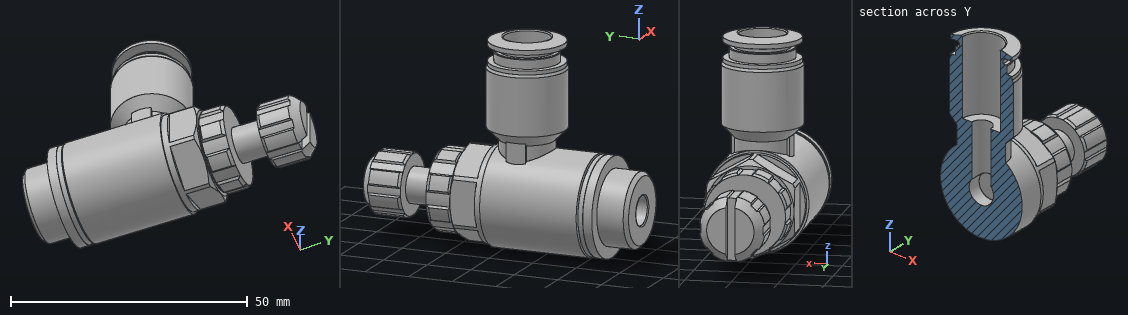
import cadquery as cq
import math


SPIGOT_END = 6.95
SPIGOT_D = 16.7
SPIGOT_CHAMFER = 0.85
FLANGE_END = 9.05
FLANGE_D = 22.15
RING_END = 10.15
RING_D = 22.0
NECK_GAP_END = 10.45
NECK_GAP_D = 20.55
BARREL_END = 32.6
BARREL_D = 22.4
COLLAR_END = 34.05
COLLAR_D = 21.4

HEX_END = 40.25
HEX_FLATS = 19.0
HEX_FACE_D = 18.95
HEX_CHAMFER_ANGLE = 30

GRIP_COUNT = 8
NUT_GAP_D = 17.0
NUT_START = 40.4
NUT_END = 46.0
NUT_D = 18.45
NUT_ROOT_D = 17.5
NUT_INNER_CHAMFER = 0.45
NUT_OUTER_CHAMFER = 0.75
NUT_GROOVE_ROOT_WIDTH = 2.8
NUT_GROOVE_MOUTH_WIDTH = 3.85
STEM_D = 8.0
KNOB_START = 52.7
KNOB_END = 61.9
KNOB_D = 14.2
KNOB_ROOT_D = 13.5
KNOB_INNER_CHAMFER = 0.6
KNOB_TIP_D = 10.2
KNOB_CONE_LENGTH = (KNOB_D - KNOB_TIP_D) / 2
KNOB_GROOVE_ROOT_WIDTH = 1.7
KNOB_GROOVE_MOUTH_WIDTH = 2.5
SLOT_WIDTH = 1.9
SLOT_DEPTH = 1.85

PORT_Y = 26.45
PORT_NECK_D = 12.2
PORT_CONE_TOP = 15.7
PORT_D = 17.5
PORT_CONE_BOTTOM = PORT_CONE_TOP - (PORT_D - PORT_NECK_D) / 2
PORT_BARREL_TOP = 28.65
RIM_BOTTOM = 29.3
RIM_D = 16.9
RIM_TOP = 30.15
SLEEVE_D = 14.2
SLEEVE_TOP = 32.4
SLEEVE_CHAMFER = 0.2
RELEASE_NECK_D = 12.0
RELEASE_TAPER_BOTTOM = 33.2
RELEASE_TAPER_D = 12.6
RELEASE_BOTTOM = 33.6
RELEASE_SHOULDER = 34.65
RELEASE_D = 16.9
PORT_TOP = 35.45
MOUTH_D = 10.8

LUG_D = 13.3
LUG_WIDTH = 4.45

TUBE_BORE_D = 10.2
TUBE_BORE_FLOOR = PORT_CONE_TOP
PASSAGE_D = 5.0
MAIN_BORE_D = 6.5
MAIN_BORE_MOUTH_D = 7.0
MAIN_BORE_DEPTH = PORT_Y + MAIN_BORE_D / 2


def turned(profile):
    """Revolve (station, diameter) pairs about the Y axis."""
    outline = [(diameter / 2, station) for station, diameter in profile]
    closed = [(0, profile[0][0])] + outline + [(0, profile[-1][0])]
    return cq.Workplane("XY").polyline(closed).close().revolve(360, (0, 0), (0, 1))


def cylinder_along_y(diameter, start, end):
    return cq.Workplane("XZ", origin=(0, end, 0)).circle(diameter / 2).extrude(end - start)


def cylinder_along_z(diameter, bottom, top):
    return cq.Workplane("XY", origin=(0, PORT_Y, bottom)).circle(diameter / 2).extrude(top - bottom)


def grip_grooves(outer_d, root_d, root_width, mouth_width, start, end):
    """Flared grooves evenly spaced around the Y axis, with round floors."""
    floor = math.sqrt((root_d / 2) ** 2 - (root_width / 2) ** 2)
    mouth = math.sqrt((outer_d / 2) ** 2 - (mouth_width / 2) ** 2)
    flare = (mouth_width - root_width) / (mouth - floor)
    clear = outer_d / 2 + 0.6
    clear_width = root_width + flare * (clear - floor)
    section = [
        (-root_width / 2, floor),
        (root_width / 2, floor),
        (clear_width / 2, clear),
        (-clear_width / 2, clear),
    ]
    groove = cq.Workplane("XZ", origin=(0, end, 0)).polyline(section).close().extrude(end - start)
    groove = groove.cut(cylinder_along_y(root_d, start, end))
    grooves = cq.Workplane("XY")
    for index in range(GRIP_COUNT):
        grooves = grooves.add(groove.rotate((0, 0, 0), (0, 1, 0), index * 360 / GRIP_COUNT))
    return grooves.combine()


def make_body():
    return turned([
        (0, SPIGOT_D - 2 * SPIGOT_CHAMFER),
        (SPIGOT_CHAMFER, SPIGOT_D),
        (SPIGOT_END, SPIGOT_D),
        (SPIGOT_END, FLANGE_D),
        (FLANGE_END, FLANGE_D),
        (FLANGE_END, RING_D),
        (RING_END, RING_D),
        (RING_END, NECK_GAP_D),
        (NECK_GAP_END, NECK_GAP_D),
        (NECK_GAP_END, BARREL_D),
        (BARREL_END, BARREL_D),
        (BARREL_END, COLLAR_D),
        (COLLAR_END, COLLAR_D),
    ])


def make_hexagon():
    """Hexagon with corners at +Z and -Z, trimmed to the collar diameter and chamfered."""
    corner_d = HEX_FLATS / math.cos(math.radians(30))
    prism = (
        cq.Workplane("XZ", origin=(0, HEX_END, 0))
        .transformed(rotate=(0, 0, 30))
        .polygon(6, corner_d)
        .extrude(HEX_END - COLLAR_END)
    )
    chamfer_length = (COLLAR_D - HEX_FACE_D) / 2 * math.tan(math.radians(HEX_CHAMFER_ANGLE))
    envelope = turned([
        (COLLAR_END, COLLAR_D),
        (HEX_END - chamfer_length, COLLAR_D),
        (HEX_END, HEX_FACE_D),
    ])
    return prism.intersect(envelope)


def make_lock_nut():
    """Grip ring joined to the hexagon by a thin recessed neck."""
    nut = turned([
        (HEX_END, NUT_GAP_D),
        (NUT_START, NUT_GAP_D),
        (NUT_START, NUT_ROOT_D),
        (NUT_START + NUT_INNER_CHAMFER, NUT_D),
        (NUT_END - NUT_OUTER_CHAMFER, NUT_D),
        (NUT_END, NUT_ROOT_D),
    ])
    return nut.cut(grip_grooves(
        NUT_D, NUT_ROOT_D, NUT_GROOVE_ROOT_WIDTH, NUT_GROOVE_MOUTH_WIDTH, NUT_START, NUT_END
    ))


def make_knob():
    knob = turned([
        (KNOB_START, KNOB_ROOT_D),
        (KNOB_START + KNOB_INNER_CHAMFER, KNOB_D),
        (KNOB_END - KNOB_CONE_LENGTH, KNOB_D),
        (KNOB_END, KNOB_TIP_D),
    ])
    knob = knob.cut(grip_grooves(
        KNOB_D, KNOB_ROOT_D, KNOB_GROOVE_ROOT_WIDTH, KNOB_GROOVE_MOUTH_WIDTH, KNOB_START, KNOB_END
    ))
    slot = cq.Workplane("XY").box(SLOT_WIDTH, 2 * SLOT_DEPTH, KNOB_D).translate((0, KNOB_END, 0))
    return knob.cut(slot)


def make_port():
    """Port turned about its own vertical axis, from the body axis up to the release ring."""
    port = (
        cq.Workplane("XZ", origin=(0, PORT_Y, 0))
        .lineTo(PORT_NECK_D / 2, 0)
        .lineTo(PORT_NECK_D / 2, PORT_CONE_BOTTOM)
        .lineTo(PORT_D / 2, PORT_CONE_TOP)
        .lineTo(PORT_D / 2, PORT_BARREL_TOP)
        .lineTo(RIM_D / 2, RIM_BOTTOM)
        .lineTo(RIM_D / 2, RIM_TOP)
        .lineTo(SLEEVE_D / 2, RIM_TOP)
        .lineTo(SLEEVE_D / 2, SLEEVE_TOP - SLEEVE_CHAMFER)
        .lineTo(SLEEVE_D / 2 - SLEEVE_CHAMFER, SLEEVE_TOP)
        .lineTo(RELEASE_NECK_D / 2, SLEEVE_TOP)
        .lineTo(RELEASE_NECK_D / 2, RELEASE_TAPER_BOTTOM)
        .lineTo(RELEASE_TAPER_D / 2, RELEASE_BOTTOM)
        .lineTo(RELEASE_D / 2, RELEASE_BOTTOM)
        .lineTo(RELEASE_D / 2, RELEASE_SHOULDER)
        .lineTo(MOUTH_D / 2, PORT_TOP)
        .lineTo(0, PORT_TOP)
        .close()
        .revolve(360, (0, 0), (0, 1))
    )
    return port.union(make_lugs())


def make_lugs():
    """Two lugs on the +X and -X sides of the port neck, with round outer faces."""
    strip = cq.Workplane("XY", origin=(0, PORT_Y, 0)).rect(LUG_D, LUG_WIDTH).extrude(PORT_CONE_TOP)
    return strip.intersect(cylinder_along_z(LUG_D, 0, PORT_CONE_TOP))


def make_bores():
    """Blind main bore from the spigot, met by the tube bore and its narrower passage."""
    mouth_chamfer = (MAIN_BORE_MOUTH_D - MAIN_BORE_D) / 2
    main_bore = turned([
        (0, MAIN_BORE_MOUTH_D),
        (mouth_chamfer, MAIN_BORE_D),
        (MAIN_BORE_DEPTH, MAIN_BORE_D),
    ])
    tube_mouth_z = PORT_TOP - (MOUTH_D - TUBE_BORE_D) / 2
    tube_bore = (
        cq.Workplane("XZ", origin=(0, PORT_Y, 0))
        .moveTo(0, TUBE_BORE_FLOOR)
        .lineTo(TUBE_BORE_D / 2, TUBE_BORE_FLOOR)
        .lineTo(TUBE_BORE_D / 2, tube_mouth_z)
        .lineTo(MOUTH_D / 2, PORT_TOP)
        .lineTo(0, PORT_TOP)
        .close()
        .revolve(360, (0, 0), (0, 1))
    )
    passage = cylinder_along_z(PASSAGE_D, 0, TUBE_BORE_FLOOR)
    return main_bore.union(tube_bore).union(passage)


stem = cylinder_along_y(STEM_D, NUT_END, KNOB_START)

result = (
    make_body()
    .union(make_hexagon())
    .union(make_lock_nut())
    .union(stem)
    .union(make_knob())
    .union(make_port())
    .cut(make_bores())
)